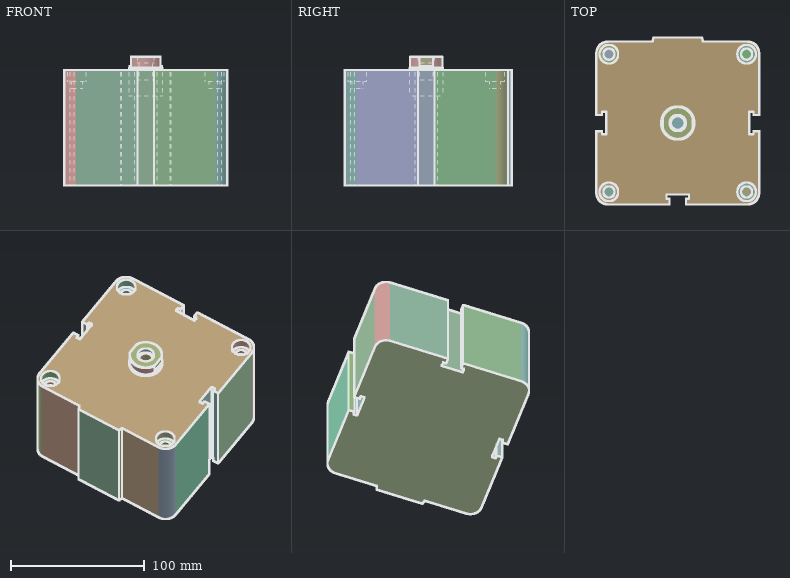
import cadquery as cq

body_width = 122.0
overall_depth = 125
body_height = 86.5
corner_radius = 9.0
half_width = body_width / 2

rail_height = overall_depth - body_width
rail_root_width = 37.9
rail_crest_width = 36.5

slot_mouth_width = 12.0
slot_inner_width = 16.8
slot_lip_depth = 4.5
slot_depth = 7.5

screw_spacing = 103.0
screw_bore_diameter = 14.0
screw_bore_depth = 8.8
screw_socket_diameter = 8.4
screw_socket_depth = 5

rod_diameter = 25
rod_protrusion = 10
rod_shoulder_height = 1.2
rod_shoulder_bevel_width = 0.2
rod_shoulder_bevel_height = 0.5
rod_embedded_length = 19.5
rod_end_diameter = rod_diameter - 2 * rod_shoulder_bevel_width
rod_tip_chamfer = 0.4
flat_spacing = 22.2
flat_length = 7.0
thread_relief_diameter = 12.2
thread_relief_depth = 5
thread_bore_diameter = 10.2
thread_bore_depth = 17.5


def make_slot(angle):
    """T-slot cutter opening at -Y, turned about Z by the given angle."""
    mouth = cq.Workplane("XY").box(
        slot_mouth_width, slot_depth, body_height, centered=(True, False, False)
    )
    inner = (
        cq.Workplane("XY")
        .box(slot_inner_width, slot_depth - slot_lip_depth, body_height, centered=(True, False, False))
        .translate((0, slot_lip_depth, 0))
    )
    slot = mouth.union(inner).translate((0, -half_width, 0))
    return slot.rotate((0, 0, 0), (0, 0, 1), angle)


def make_rail():
    """Trapezoidal rail running the full height of the +Y face."""
    return (
        cq.Workplane("XY")
        .polyline(
            [
                (-rail_root_width / 2, half_width),
                (rail_root_width / 2, half_width),
                (rail_crest_width / 2, half_width + rail_height),
                (-rail_crest_width / 2, half_width + rail_height),
            ]
        )
        .close()
        .extrude(body_height)
    )


def make_housing():
    """Cylinder housing with slots, screw holes and a blind hole that holds the rod."""
    housing = (
        cq.Workplane("XY")
        .box(body_width, body_width, body_height, centered=(True, True, False))
        .edges("|Z")
        .fillet(corner_radius)
        .union(make_rail())
    )
    for angle in (0, 90, -90):
        housing = housing.cut(make_slot(angle))
    housing = (
        housing.faces(">Z")
        .workplane(origin=(0, 0, body_height))
        .rect(screw_spacing, screw_spacing, forConstruction=True)
        .vertices()
        .cboreHole(
            screw_socket_diameter,
            screw_bore_diameter,
            screw_bore_depth,
            screw_bore_depth + screw_socket_depth,
        )
    )
    rod_hole = (
        cq.Workplane("XY")
        .workplane(offset=body_height - rod_embedded_length)
        .circle(rod_diameter / 2)
        .extrude(rod_embedded_length)
    )
    return housing.cut(rod_hole)


def make_rod():
    """Piston rod seated in the housing and standing out of its top face."""
    rod_bottom = body_height - rod_embedded_length
    rod_tip = body_height + rod_protrusion
    shoulder_top = body_height + rod_shoulder_height
    rod = (
        cq.Workplane("XZ")
        .moveTo(0, rod_bottom)
        .lineTo(rod_diameter / 2, rod_bottom)
        .lineTo(rod_diameter / 2, shoulder_top)
        .lineTo(rod_end_diameter / 2, shoulder_top + rod_shoulder_bevel_height)
        .lineTo(rod_end_diameter / 2, rod_tip - rod_tip_chamfer)
        .lineTo(rod_end_diameter / 2 - rod_tip_chamfer, rod_tip)
        .lineTo(0, rod_tip)
        .close()
        .revolve(360, (0, 0, 0), (0, 1, 0))
    )
    flats = (
        cq.Workplane("XY")
        .workplane(offset=rod_tip - flat_length)
        .rect(2 * rod_diameter, 2 * rod_diameter)
        .rect(flat_spacing, 2 * rod_diameter)
        .extrude(flat_length)
    )
    return (
        rod.cut(flats)
        .faces(">Z")
        .workplane(origin=(0, 0, rod_tip))
        .cboreHole(thread_bore_diameter, thread_relief_diameter, thread_relief_depth, thread_bore_depth)
    )


housing = make_housing()
rod = make_rod()
result = cq.Compound.makeCompound([housing.val(), rod.val()])